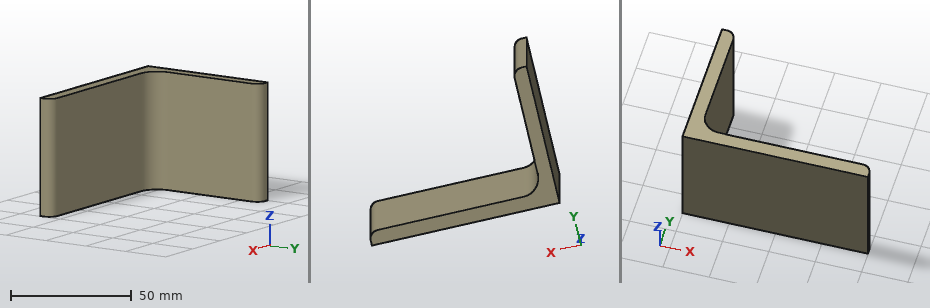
import cadquery as cq

long_leg = 80.0
short_leg = 60.0
thickness = 6.0
length = 50.0
root_radius = 8.0
toe_radius = 4.0


def angle_blank():
    """Sharp-cornered L section with its outer corner at the origin."""
    outline = [
        (0, 0),
        (long_leg, 0),
        (long_leg, thickness),
        (thickness, thickness),
        (thickness, short_leg),
        (0, short_leg),
    ]
    return cq.Workplane("XY").polyline(outline).close().extrude(length)


def fillet_upright_edge(body, x, y, radius):
    """Round the edge parallel to Z that passes through (x, y)."""
    nearest = cq.selectors.NearestToPointSelector((x, y, length / 2))
    return body.edges("|Z").edges(nearest).fillet(radius)


result = angle_blank()
result = fillet_upright_edge(result, thickness, thickness, root_radius)
result = fillet_upright_edge(result, long_leg, thickness, toe_radius)
result = fillet_upright_edge(result, thickness, short_leg, toe_radius)